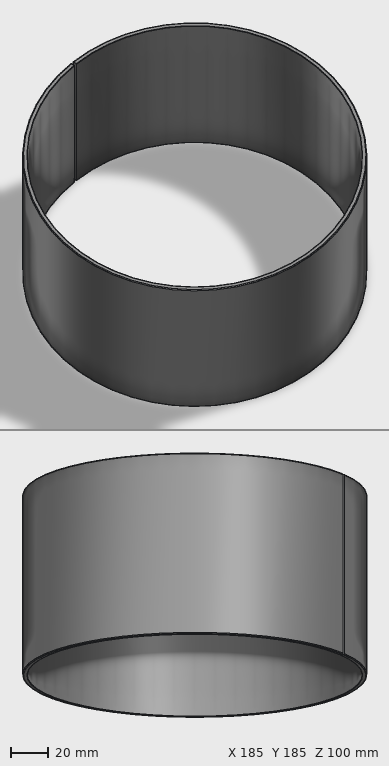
import cadquery as cq

outer_diameter = 185.0
wall_thickness = 2.5
height = 100.0
outer_chamfer = 0.5
inner_chamfer = 0.2
sweep_angle = 359.0

outer_radius = outer_diameter / 2
inner_radius = outer_radius - wall_thickness


def make_wall_section():
    """Wall cross-section in the XZ plane on the -X side, all four corners chamfered."""
    outer_face = -outer_radius
    inner_face = -inner_radius
    corners = [
        (outer_face + outer_chamfer, 0),
        (outer_face, outer_chamfer),
        (outer_face, height - outer_chamfer),
        (outer_face + outer_chamfer, height),
        (inner_face - inner_chamfer, height),
        (inner_face, height - inner_chamfer),
        (inner_face, inner_chamfer),
        (inner_face - inner_chamfer, 0),
    ]
    return cq.Workplane("XZ").polyline(corners).close()


def make_split_sleeve():
    """Turn the section about Z from the XZ plane towards -Y; the slit ends up on the +Y side."""
    axis_start = (0, 0, 0)
    axis_end = (0, 1, 0)
    return make_wall_section().revolve(sweep_angle, axis_start, axis_end)


result = make_split_sleeve()